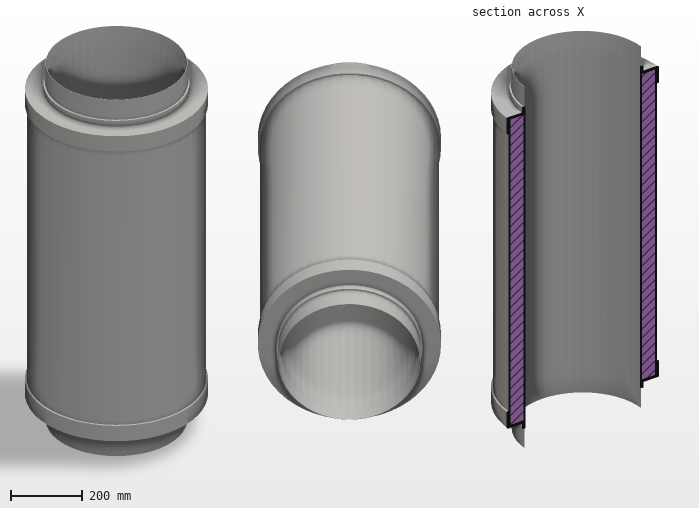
import cadquery as cq

total_length = 1170.0
cap_diameter = 514.0
cap_length = 50.0
rim_wall = 6.0
plate_thickness = 1.0
spigot_radius = 199.0
spigot_wall = 1.0
spigot_length = 65.0
collar_radius = 205.0
collar_length = 19.0

cap_radius = cap_diameter / 2
casing_radius = cap_radius - rim_wall
bore_radius = spigot_radius - spigot_wall

half_length = total_length / 2
collar_end = half_length - spigot_length
cap_end = collar_end - collar_length
plate_inner = cap_end - plate_thickness
cap_open_end = cap_end - cap_length


def ring(outer_radius, inner_radius, bottom, top):
    """Tube about Z between two heights."""
    return (
        cq.Workplane("XY")
        .workplane(offset=bottom)
        .circle(outer_radius)
        .circle(inner_radius)
        .extrude(top - bottom)
    )


def make_duct():
    """Thick casing between the end plates, with a thin spigot running out at each end."""
    casing = ring(casing_radius, bore_radius, -plate_inner, plate_inner)
    pipe = ring(spigot_radius, bore_radius, -half_length, half_length)
    return casing.union(pipe)


def make_end_cap():
    """Upper cap: rim around the casing, thin end plate and collar around the spigot."""
    rim = ring(cap_radius, casing_radius, cap_open_end, cap_end)
    plate = ring(cap_radius, spigot_radius, plate_inner, cap_end)
    collar = ring(collar_radius, spigot_radius, plate_inner, collar_end)
    return rim.union(plate).union(collar)


duct = make_duct()
upper_cap = make_end_cap()
end_caps = []
for flip_angle in (0, 180):
    end_caps.append(upper_cap.rotate((0, 0, 0), (1, 0, 0), flip_angle))

result = cq.Compound.makeCompound([duct.val(), *[cap.val() for cap in end_caps]])